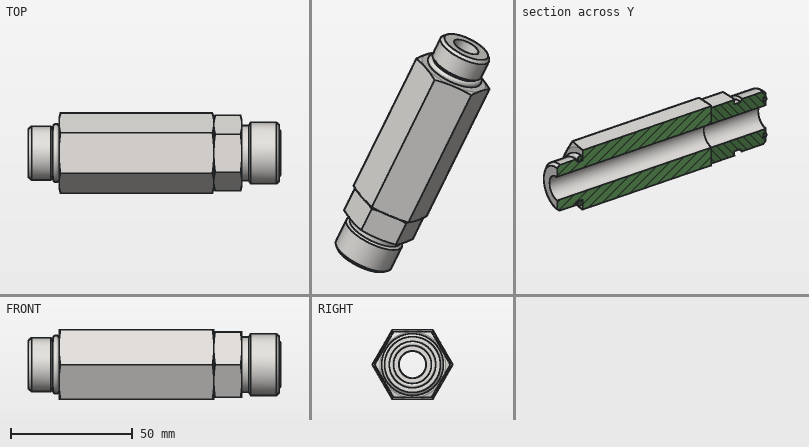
import cadquery as cq
import math

total_length = 103.7
body_start = 12.6
joint = 76.2
fitting_hex_end = 87.7
outlet_thread_start = 90.6
outlet_face = 103.2

bore_diameter = 11.1

body_flats = 28.6
fitting_flats = 27.0
hex_chamfer_angle = 15.0

inlet_thread_diameter = 22.2
inlet_face_diameter = 19.7
inlet_chamfer_length = 1.3
inlet_thread_end = 9.2
seal_seat_diameter = 19.1

run_out_angle = 30.0

neck_diameter = 22.8
outlet_thread_diameter = 25.4
outlet_front_chamfer = 1.2

stud_seal_section = 2.5
face_seal_section = 1.8
face_seal_outer_diameter = 19.1


def revolve_about_x(profile):
    """Full turn of an (x, radius) outline about the X axis."""
    return profile.close().revolve(360, (0, 0, 0), (1, 0, 0))


def disc(start, end, diameter):
    """Plain cylinder along X."""
    return cq.Workplane("YZ", origin=(start, 0, 0)).circle(diameter / 2).extrude(end - start)


def hexagon(start, end, flats):
    """Hexagonal bar along X, flats facing +Z and -Z, corners chamfered at both ends."""
    corner_diameter = flats / math.cos(math.radians(30))
    corner_radius = corner_diameter / 2
    flat_radius = flats / 2
    setback = (corner_radius - flat_radius) * math.tan(math.radians(hex_chamfer_angle))
    bar = cq.Workplane("YZ", origin=(start, 0, 0)).polygon(6, corner_diameter).extrude(end - start)
    envelope = revolve_about_x(
        cq.Workplane("XY")
        .moveTo(start, 0)
        .lineTo(start, flat_radius)
        .lineTo(start + setback, corner_radius)
        .lineTo(end - setback, corner_radius)
        .lineTo(end, flat_radius)
        .lineTo(end, 0)
    )
    return bar.intersect(envelope)


def o_ring(center_x, center_radius, section):
    """Ring of round section about the X axis."""
    return cq.Workplane("XY").center(center_x, center_radius).circle(section / 2).revolve(
        360, (0, -center_radius, 0), (1, -center_radius, 0)
    )


def run_out_length(depth):
    """Length along X over which a thread run-out drops by the given depth."""
    return depth * math.tan(math.radians(run_out_angle))


def make_body():
    """Long hexagonal body with the inlet stud and the seat for its O-ring."""
    thread_radius = inlet_thread_diameter / 2
    seat_radius = seal_seat_diameter / 2
    run_out = run_out_length(thread_radius - seat_radius)
    stud = revolve_about_x(
        cq.Workplane("XY")
        .lineTo(0, inlet_face_diameter / 2)
        .lineTo(inlet_chamfer_length, thread_radius)
        .lineTo(inlet_thread_end, thread_radius)
        .lineTo(inlet_thread_end + run_out, seat_radius)
        .lineTo(body_start, seat_radius)
        .lineTo(body_start, 0)
    )
    bore = disc(0, joint, bore_diameter)
    return hexagon(body_start, joint, body_flats).union(stud).cut(bore)


def make_fitting():
    """Short hexagon with a neck and the outlet stud, grooved in its end face."""
    neck_radius = neck_diameter / 2
    thread_radius = outlet_thread_diameter / 2
    run_out = run_out_length(thread_radius - neck_radius)
    stud = revolve_about_x(
        cq.Workplane("XY")
        .moveTo(fitting_hex_end, 0)
        .lineTo(fitting_hex_end, neck_radius)
        .lineTo(outlet_thread_start, neck_radius)
        .lineTo(outlet_thread_start + run_out, thread_radius)
        .lineTo(outlet_face - outlet_front_chamfer, thread_radius)
        .lineTo(outlet_face, thread_radius - outlet_front_chamfer)
        .lineTo(outlet_face, 0)
    )
    groove_floor = total_length - face_seal_section
    groove_inner_diameter = face_seal_outer_diameter - 2 * face_seal_section
    groove = disc(groove_floor, outlet_face, face_seal_outer_diameter).cut(
        disc(groove_floor, outlet_face, groove_inner_diameter)
    )
    bore = disc(joint, outlet_face, bore_diameter)
    return hexagon(joint, fitting_hex_end, fitting_flats).union(stud).cut(groove).cut(bore)


def make_stud_seal():
    """O-ring on the inlet stud, resting on its seat and against the body face."""
    return o_ring(
        body_start - stud_seal_section / 2,
        (seal_seat_diameter + stud_seal_section) / 2,
        stud_seal_section,
    )


def make_face_seal():
    """O-ring in the end face groove, standing proud of the outlet face."""
    return o_ring(
        total_length - face_seal_section / 2,
        (face_seal_outer_diameter - face_seal_section) / 2,
        face_seal_section,
    )


body = make_body()
fitting = make_fitting()
stud_seal = make_stud_seal()
face_seal = make_face_seal()

result = cq.Compound.makeCompound([body.val(), fitting.val(), stud_seal.val(), face_seal.val()])